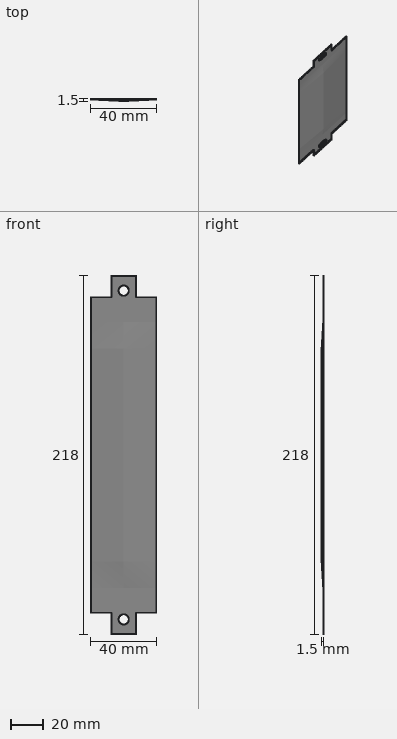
import cadquery as cq

length = 218.0
width = 40.0
depth = 1.5
thickness = 0.5
ridge_height = depth - thickness

ridge_length = 130.0
flat_start = 81.0
tab_length = 12.9

tab_width = 15.0
hole_diameter = 6.0
hole_to_end = 9.0

half_length = length / 2
half_ridge = ridge_length / 2
shoulder = half_length - tab_length


def sheet_section(z, rise):
    """Sheet cross-section at height z, its middle pushed toward -Y by rise."""
    half_width = width / 2
    points = [
        (-half_width, 0),
        (-half_width, -thickness),
        (0, -thickness - rise),
        (half_width, -thickness),
        (half_width, 0),
        (0, -rise),
    ]
    return cq.Wire.makePolygon([cq.Vector(x, y, z) for x, y in points], close=True)


def sheet_between(z_start, rise_start, z_end, rise_end):
    """Straight-ruled sheet joining two cross-sections."""
    sections = [sheet_section(z_start, rise_start), sheet_section(z_end, rise_end)]
    return cq.Workplane(cq.Solid.makeLoft(sections, True))


def flat_end(side):
    """Flat end plate with its drilled tab; side is +1 for the top, -1 for the bottom."""
    plate_length = shoulder - flat_start
    plate = cq.Workplane().box(width, thickness, plate_length).translate(
        (0, -thickness / 2, side * (flat_start + plate_length / 2))
    )
    tab = cq.Workplane().box(tab_width, thickness, tab_length).translate(
        (0, -thickness / 2, side * (half_length - tab_length / 2))
    )
    hole = (
        cq.Workplane("XZ")
        .center(0, side * (half_length - hole_to_end))
        .circle(hole_diameter / 2)
        .extrude(thickness)
    )
    return plate.union(tab).cut(hole)


result = sheet_between(-half_ridge, ridge_height, half_ridge, ridge_height)
for side in (-1, 1):
    blend = sheet_between(side * half_ridge, ridge_height, side * flat_start, 0)
    result = result.union(blend).union(flat_end(side))